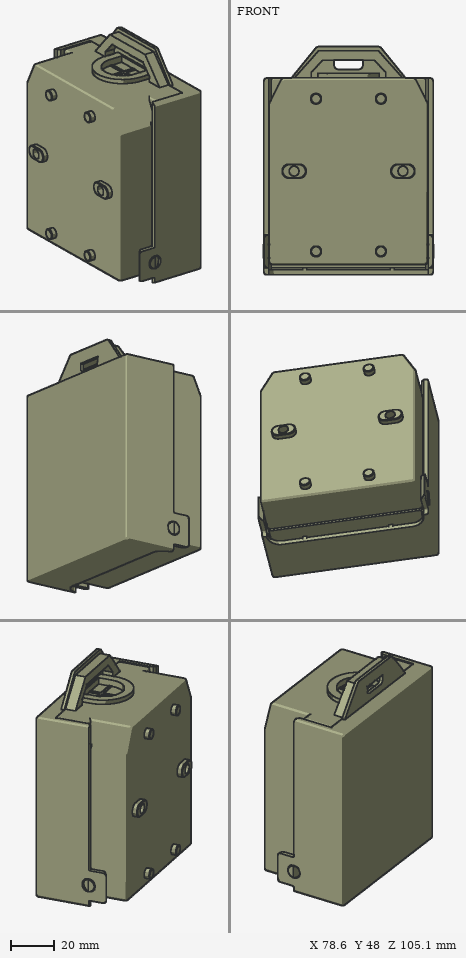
import cadquery as cq
import math


COVER_WIDTH = 78.0
COVER_DEPTH = 27.0
BODY_TOP = 90.6
COVER_WALL = 2.4
RIM_WALL = 2.2
COVER_EDGE_RADIUS = 1.5
RIM_CHAMFER = 1.2
FLOOR_NOTCH_RADIUS = 6.3
RIB_X = 20.2
RIB_WIDTH = 1.9

TAB_BOTTOM = 3.3
TAB_TOP = 18.4
TAB_FRONT = 35.9
TAB_CORNER_RADIUS = 1.6
TAB_ROOT_RADIUS = 0.8
TAB_CHAMFER = 1.9
DETENT_DIAMETER = 5.9
DETENT_HOLE_DIAMETER = 6.5
DETENT_Z = 10.9
DETENT_PROUD = 0.3
DETENT_RAMP_ANGLE = 27.0

BASE_SIDE_GAP = 0.4
BASE_FRONT = 45.3
BASE_BOTTOM = 4.6
BASE_TAIL_BOTTOM = 3.4
BASE_EDGE_RADIUS = 1.6
TAIL_EDGE_RADIUS = 1.3
SHOULDER_BACK = 24.5
SHOULDER_WIDTH = 5.8
SHOULDER_HEIGHT = 11.6

PLATE_BACK = 7.4
PLATE_FRONT = 8.9
PLATE_HEIGHT = 14.5
PLATE_BOTTOM_HALF = 26.3
PLATE_TOP_HALF = 14.5
PLATE_CORNER_RADIUS = 2.1
SLOT_WIDTH = 13.1
SLOT_HEIGHT = 4.2
SLOT_CORNER_RADIUS = 1.9
LOOP_FRONT = 14.0
LOOP_HEIGHT = 12.6
LOOP_BOTTOM_HALF = 24.9
LOOP_TOP_HALF = 13.7
OPENING_BOTTOM_HALF = 17.0
OPENING_TOP_HALF = 11.9
OPENING_SIDE_HEIGHT = 2.6
OPENING_HEIGHT = 8.2

COLLAR_CENTRE = 16.7
COLLAR_RADIUS = 14.1
COLLAR_HEIGHT = 2.1
POCKET_RADIUS = 9.8
POCKET_BACK = 10.0
POCKET_FLOOR_DROP = 1.0
CROSS_DEPTH = 16.0
CROSS_LONG_BAR = 1.8
CROSS_WIDE_BAR = 1.4
CROSS_HEIGHT = 0.2

PAD_X = 25.0
PAD_Z = 47.7
PAD_LENGTH = 11.1
PAD_WIDTH = 6.5
PAD_HEIGHT = 2.5
PAD_CHAMFER = 0.3
PAD_HOLE_DIAMETER = 4.5
PAD_HOLE_DEPTH = 4.2
FOOT_X = 14.9
FOOT_LOW_Z = 10.8
FOOT_HIGH_Z = 81.1
FOOT_DIAMETER = 4.9
FOOT_HEIGHT = 2.7
FOOT_CHAMFER = 0.3

COVER_HALF = COVER_WIDTH / 2
RIM_HALF = COVER_HALF - RIM_WALL
TAIL_HALF = RIM_HALF - RIM_CHAMFER
BASE_HALF = RIM_HALF - BASE_SIDE_GAP
SLOPE_START = BODY_TOP - SHOULDER_HEIGHT
DETENT_FACE = COVER_HALF + DETENT_PROUD
DETENT_RADIUS = DETENT_DIAMETER / 2
SIDES = (-1, 1)


def block(x_min, x_max, back, front, z_min, z_max):
    """Box between two depths measured forward from the back of the cover."""
    size = (x_max - x_min, front - back, z_max - z_min)
    return cq.Workplane("XY").box(*size, centered=False).translate((x_min, -front, z_min))


def front_plane(depth):
    """Plane facing the front (-Y) at a depth; its local axes are X and Z."""
    return cq.Workplane("XZ", origin=(0, -depth, 0))


def mirrored(shape):
    """Copy of a shape on the other side of X = 0."""
    return shape.mirror("YZ")


def trapezoid(bottom_half, top_half, height, back, front):
    """Upright trapezoid plate standing on the top of the box."""
    corners = [
        (-bottom_half, BODY_TOP),
        (bottom_half, BODY_TOP),
        (top_half, BODY_TOP + height),
        (-top_half, BODY_TOP + height),
    ]
    return front_plane(back).polyline(corners).close().extrude(front - back)


def side_cylinder(diameter):
    """Cylinder at the detent on the +X side, from the tail of the base to the face of the detent."""
    plane = cq.Workplane("YZ", origin=(TAIL_HALF, -COVER_DEPTH, DETENT_Z))
    return plane.circle(diameter / 2).extrude(DETENT_FACE - TAIL_HALF)



def cover_shell():
    shell = block(-COVER_HALF, COVER_HALF, 0, COVER_DEPTH, 0, BODY_TOP)
    shell = shell.edges("|Y or >Y").fillet(COVER_EDGE_RADIUS)
    cavity = block(-TAIL_HALF, TAIL_HALF, COVER_WALL, COVER_DEPTH, COVER_WALL, BODY_TOP - COVER_WALL)
    top_opening = block(-TAIL_HALF, TAIL_HALF, PLATE_FRONT, COVER_DEPTH, COVER_WALL, BODY_TOP)
    return shell.cut(cavity).cut(top_opening)


def rim_lead_in():
    """Chamfer along the inner edge of the +X side wall at the front."""
    profile = [
        (TAIL_HALF, -COVER_DEPTH),
        (RIM_HALF, -COVER_DEPTH),
        (TAIL_HALF, -COVER_DEPTH + RIM_CHAMFER),
    ]
    plane = cq.Workplane("XY", origin=(0, 0, COVER_WALL))
    return plane.polyline(profile).close().extrude(BODY_TOP - COVER_WALL)


def floor_notch():
    """Shallow cut in the front edge of the floor, with rounded inner corners."""
    back = COVER_DEPTH - FLOOR_NOTCH_RADIUS
    notch = block(-RIM_HALF, RIM_HALF, back, TAB_FRONT, 0, COVER_WALL)
    return notch.edges("|Z and >Y").fillet(FLOOR_NOTCH_RADIUS)


def floor_rib():
    """Rib that carries the base above the floor of the cover."""
    front = COVER_DEPTH - FLOOR_NOTCH_RADIUS
    x_min = RIB_X - RIB_WIDTH / 2
    return block(x_min, x_min + RIB_WIDTH, COVER_WALL, front, COVER_WALL, BASE_TAIL_BOTTOM)


def side_tab():
    """Tab on the +X side wall, chamfered inside at its tip and rounded into the rim at its roots."""
    tab = block(RIM_HALF, COVER_HALF, COVER_DEPTH, TAB_FRONT, TAB_BOTTOM, TAB_TOP)
    tab = tab.edges("|X and <Y").fillet(TAB_CORNER_RADIUS)
    tip = [
        (RIM_HALF, -TAB_FRONT),
        (RIM_HALF + TAB_CHAMFER, -TAB_FRONT),
        (RIM_HALF, -TAB_FRONT + TAB_CHAMFER),
    ]
    tab = tab.cut(cq.Workplane("XY").polyline(tip).close().extrude(TAB_TOP))
    for root_z, outward in ((TAB_BOTTOM, -1), (TAB_TOP, 1)):
        far_z = root_z + outward * TAB_ROOT_RADIUS
        far_y = -COVER_DEPTH - TAB_ROOT_RADIUS
        mid_reach = TAB_ROOT_RADIUS * math.sqrt(0.5)
        root = (
            cq.Workplane("YZ", origin=(RIM_HALF, 0, 0))
            .moveTo(-COVER_DEPTH, root_z)
            .lineTo(far_y, root_z)
            .threePointArc((far_y + mid_reach, far_z - outward * mid_reach), (-COVER_DEPTH, far_z))
            .close()
            .extrude(COVER_HALF - RIM_HALF)
        )
        tab = tab.union(root)
    return tab


def hanger_plate():
    plate = trapezoid(PLATE_BOTTOM_HALF, PLATE_TOP_HALF, PLATE_HEIGHT, PLATE_BACK, PLATE_FRONT)
    plate = plate.edges("|Y and >Z").fillet(PLATE_CORNER_RADIUS)
    slot_top = BODY_TOP + OPENING_HEIGHT
    slot = block(-SLOT_WIDTH / 2, SLOT_WIDTH / 2, PLATE_BACK, PLATE_FRONT, slot_top - SLOT_HEIGHT, slot_top)
    return plate.cut(slot.edges("|Y and <Z").fillet(SLOT_CORNER_RADIUS))


def make_cover():
    cover = cover_shell().cut(floor_notch()).union(hanger_plate())
    cover = cover.cut(rim_lead_in()).cut(mirrored(rim_lead_in()))
    cover = cover.union(floor_rib()).union(mirrored(floor_rib()))
    cover = cover.union(side_tab()).union(mirrored(side_tab()))
    detent_hole = side_cylinder(DETENT_HOLE_DIAMETER)
    return cover.cut(detent_hole).cut(mirrored(detent_hole))



def base_front_block():
    """Front block with sloping upper corners and rounded edges, narrowed where it enters the cover."""
    top_half = BASE_HALF - SHOULDER_WIDTH
    outline = [
        (-BASE_HALF, BASE_BOTTOM),
        (BASE_HALF, BASE_BOTTOM),
        (BASE_HALF, SLOPE_START),
        (top_half, BODY_TOP),
        (-top_half, BODY_TOP),
        (-BASE_HALF, SLOPE_START),
    ]
    back = SHOULDER_BACK - TAIL_EDGE_RADIUS
    body = front_plane(back).polyline(outline).close().extrude(BASE_FRONT - back)
    body = body.edges("|Y or <Y").fillet(BASE_EDGE_RADIUS)
    side_relief = block(TAIL_HALF, COVER_HALF, back, COVER_DEPTH, 0, BODY_TOP)
    return body.cut(side_relief).cut(mirrored(side_relief))


def base_tail():
    """Part of the base inside the cover; its upper part fills the opening in the cover's top."""
    upper = block(-TAIL_HALF, TAIL_HALF, PLATE_FRONT, SHOULDER_BACK, BASE_TAIL_BOTTOM, BODY_TOP)
    upper = upper.edges("(>Z and (|Y or <Y)) or (|Z and <Y)").fillet(TAIL_EDGE_RADIUS)
    rear = block(-TAIL_HALF, TAIL_HALF, COVER_WALL, PLATE_FRONT, BASE_TAIL_BOTTOM, BODY_TOP - COVER_WALL)
    lip_back = SHOULDER_BACK - TAIL_EDGE_RADIUS
    neck_top = SLOPE_START - BASE_EDGE_RADIUS
    neck = block(-TAIL_HALF, TAIL_HALF, lip_back, COVER_DEPTH, BASE_TAIL_BOTTOM, neck_top)
    return upper.union(rear).union(neck)


def detent():
    """Round boss on the +X side; its front half is flat and its rear half slopes inward to the back."""
    boss = side_cylinder(DETENT_DIAMETER)
    ramp_rise = DETENT_RADIUS * math.tan(math.radians(DETENT_RAMP_ANGLE))
    back_y = -COVER_DEPTH + DETENT_RADIUS
    above_ramp = [
        (DETENT_FACE, -COVER_DEPTH),
        (DETENT_FACE, back_y),
        (DETENT_FACE - ramp_rise, back_y),
    ]
    plane = cq.Workplane("XY", origin=(0, 0, DETENT_Z - DETENT_RADIUS))
    return boss.cut(plane.polyline(above_ramp).close().extrude(DETENT_DIAMETER))


def hanger_loop():
    loop = trapezoid(LOOP_BOTTOM_HALF, LOOP_TOP_HALF, LOOP_HEIGHT, PLATE_FRONT, LOOP_FRONT)
    opening = [
        (-OPENING_BOTTOM_HALF, BODY_TOP),
        (OPENING_BOTTOM_HALF, BODY_TOP),
        (OPENING_BOTTOM_HALF, BODY_TOP + OPENING_SIDE_HEIGHT),
        (OPENING_TOP_HALF, BODY_TOP + OPENING_HEIGHT),
        (-OPENING_TOP_HALF, BODY_TOP + OPENING_HEIGHT),
        (-OPENING_BOTTOM_HALF, BODY_TOP + OPENING_SIDE_HEIGHT),
    ]
    return loop.cut(front_plane(PLATE_FRONT).polyline(opening).close().extrude(LOOP_FRONT - PLATE_FRONT))


def d_prism(radius, back, z_min, z_max):
    """Upright prism with a straight back and a half-round front about the collar centre."""
    return (
        cq.Workplane("XY", origin=(0, 0, z_min))
        .moveTo(-radius, -back)
        .lineTo(-radius, -COLLAR_CENTRE)
        .threePointArc((0, -COLLAR_CENTRE - radius), (radius, -COLLAR_CENTRE))
        .lineTo(radius, -back)
        .close()
        .extrude(z_max - z_min)
    )


def pocket_cross(pocket):
    """Low cross on the pocket floor, trimmed to the pocket."""
    floor = BODY_TOP - POCKET_FLOOR_DROP
    top = floor + CROSS_HEIGHT
    bar_half = CROSS_LONG_BAR / 2
    cross_bar_back = CROSS_DEPTH - CROSS_WIDE_BAR / 2
    collar_front = COLLAR_CENTRE + COLLAR_RADIUS
    cross_bar_front = CROSS_DEPTH + CROSS_WIDE_BAR / 2
    long_bar = block(-bar_half, bar_half, POCKET_BACK, collar_front, floor, top)
    wide_bar = block(-POCKET_RADIUS, POCKET_RADIUS, cross_bar_back, cross_bar_front, floor, top)
    return long_bar.union(wide_bar).intersect(pocket)


def mounting_pad(x):
    pad = front_plane(BASE_FRONT).center(x, PAD_Z).slot2D(PAD_LENGTH, PAD_WIDTH).extrude(PAD_HEIGHT)
    return pad.faces("<Y").chamfer(PAD_CHAMFER)


def pad_hole(x):
    plane = front_plane(BASE_FRONT + PAD_HEIGHT - PAD_HOLE_DEPTH).center(x, PAD_Z)
    return plane.circle(PAD_HOLE_DIAMETER / 2).extrude(PAD_HOLE_DEPTH)


def make_base():
    base = base_tail().union(base_front_block())
    base = base.union(detent()).union(mirrored(detent()))
    collar_top = BODY_TOP + COLLAR_HEIGHT
    pocket = d_prism(POCKET_RADIUS, POCKET_BACK, BODY_TOP - POCKET_FLOOR_DROP, collar_top)
    base = base.union(d_prism(COLLAR_RADIUS, PLATE_FRONT, BODY_TOP, collar_top))
    base = base.cut(pocket).union(pocket_cross(pocket)).union(hanger_loop())
    for side in SIDES:
        base = base.union(mounting_pad(side * PAD_X)).cut(pad_hole(side * PAD_X))
    return base



def make_foot(x, z):
    foot = front_plane(BASE_FRONT).center(x, z).circle(FOOT_DIAMETER / 2).extrude(FOOT_HEIGHT)
    return foot.faces("<Y").chamfer(FOOT_CHAMFER)


cover = make_cover()
base = make_base()
feet = [make_foot(side * FOOT_X, z) for side in SIDES for z in (FOOT_LOW_Z, FOOT_HIGH_Z)]

result = cq.Compound.makeCompound([cover.val(), base.val(), *[foot.val() for foot in feet]])